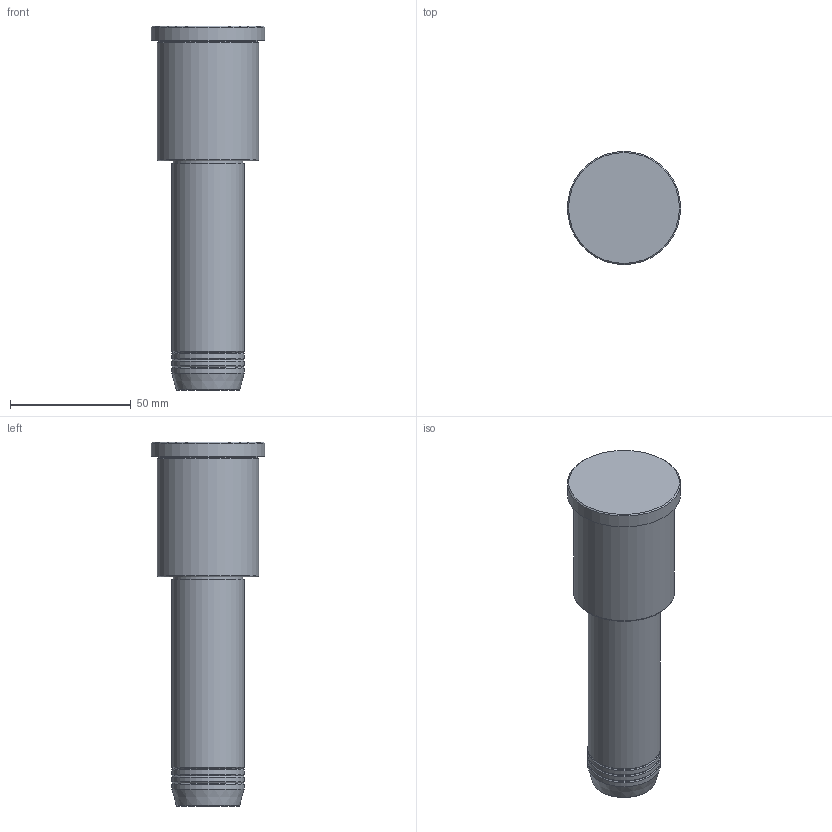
import cadquery as cq
import math

total_length = 151.0

head_radius = 47.0 / 2
head_height = 6.0
head_chamfer = 0.5

collar_radius = 42.0 / 2
collar_length = 50.0
collar_fillet = 0.5
collar_chamfer = 0.4
collar_neck_height = 0.6
collar_neck_depth = 0.5

shank_radius = 30.0 / 2
shank_neck_height = 1.0
shank_neck_depth = 0.5

nose_length = 7.0
nose_half_angle = math.radians(15.0)
tip_chamfer = 0.3

groove_count = 3
groove_pitch = 3.0
groove_width = 1.0
groove_depth = 0.35
lowest_groove_z = 9.5

head_bottom_z = total_length - head_height
collar_top_z = head_bottom_z - collar_neck_height
collar_bottom_z = head_bottom_z - collar_length
shank_top_z = collar_bottom_z - shank_neck_height


def cylinder(radius, bottom_z, top_z):
    """Solid cylinder on the Z axis between two levels."""
    return cq.Workplane("XY").workplane(offset=bottom_z).circle(radius).extrude(top_z - bottom_z)


def revolve_outline(points):
    """Revolve a closed (radius, z) outline about the Z axis."""
    return cq.Workplane("XZ").polyline(points).close().revolve(360, (0, 0, 0), (0, 1, 0))


def make_head():
    """Flat disc at the top with its upper rim bevelled."""
    disc = cylinder(head_radius, head_bottom_z, total_length)
    return disc.faces(">Z").edges().chamfer(head_chamfer)


def make_collar():
    """Cylinder under the head: rounded lower rim, bevelled upper rim and a relief neck above."""
    body = cylinder(collar_radius, collar_bottom_z, collar_top_z)
    body = body.faces("<Z").edges().fillet(collar_fillet)
    body = body.faces(">Z").edges().chamfer(collar_chamfer)
    neck = cylinder(collar_radius - collar_neck_depth, collar_top_z - collar_chamfer, head_bottom_z)
    return body.union(neck)


def make_shank():
    """Long pin with a relief neck at its top and a conical nose."""
    nose_end_radius = shank_radius - (nose_length - tip_chamfer) * math.tan(nose_half_angle)
    body = revolve_outline(
        [
            (0, 0),
            (nose_end_radius - tip_chamfer, 0),
            (nose_end_radius, tip_chamfer),
            (shank_radius, nose_length),
            (shank_radius, shank_top_z),
            (0, shank_top_z),
        ]
    )
    neck = cylinder(shank_radius - shank_neck_depth, shank_top_z, collar_bottom_z)
    return body.union(neck)


def make_groove(center_z):
    """Ring of V section that cuts one groove around the shank."""
    half_width = groove_width / 2
    return revolve_outline(
        [
            (shank_radius, center_z - half_width),
            (shank_radius - groove_depth, center_z),
            (shank_radius, center_z + half_width),
        ]
    )


result = make_head().union(make_collar()).union(make_shank())
for index in range(groove_count):
    result = result.cut(make_groove(lowest_groove_z + index * groove_pitch))